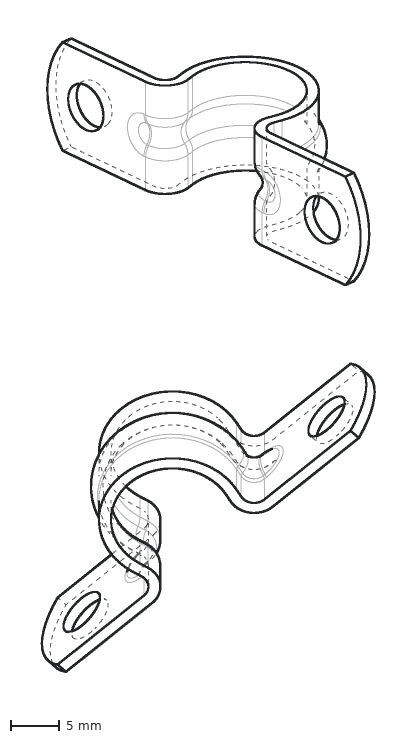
import cadquery as cq
import math


length = 46.45
width = 12.7
thickness = 1.25
ear_end_radius = 10.0

arch_radius = 6.35
arch_center_y = 6.0
bend_radius = 2.8
bend_center_y = bend_radius
neck_lean = math.radians(14.5)
neck_drop = arch_center_y - bend_center_y
neck_length = (neck_drop - (arch_radius + bend_radius) * math.sin(neck_lean)) / math.cos(neck_lean)
bend_center_x = (arch_radius + bend_radius) * math.cos(neck_lean) - neck_length * math.sin(neck_lean)

hole_diameter = 5.2
hole_spacing = 35.0

bead_half_width = 2.45
bead_height = 0.85
bead_foot_radius = 0.75
bead_end_x = 8.85
bead_slope_angle = 2 * math.atan(bead_height / bead_half_width)
bead_crown_radius = bead_half_width / math.sin(bead_slope_angle) - bead_foot_radius
bead_crown_center_y = thickness + bead_height - bead_crown_radius
bead_foot_center_y = thickness + bead_foot_radius


def on_circle(center, radius, angle):
    """Point on a circle, at an angle measured from its second axis toward its first."""
    return (center[0] + radius * math.sin(angle), center[1] + radius * math.cos(angle))


def mirrored(point):
    """The point with its first coordinate reversed."""
    return (-point[0], point[1])


def bend_path():
    """Front face line of the strip in the XY plane, between the ends of the bead."""
    arch_end_angle = math.pi / 2 + neck_lean
    arch_end = on_circle((0, arch_center_y), arch_radius, arch_end_angle)
    bend_center = (bend_center_x, bend_center_y)
    bend_start = on_circle(bend_center, bend_radius, math.pi + arch_end_angle)
    bend_middle = on_circle(bend_center, bend_radius, math.pi + arch_end_angle / 2)
    return (
        cq.Workplane("XY")
        .moveTo(-bead_end_x, 0)
        .lineTo(-bend_center_x, 0)
        .threePointArc(mirrored(bend_middle), mirrored(bend_start))
        .lineTo(*mirrored(arch_end))
        .threePointArc((0, arch_center_y + arch_radius), arch_end)
        .lineTo(*bend_start)
        .threePointArc(bend_middle, (bend_center_x, 0))
        .lineTo(bead_end_x, 0)
    )


def bead_face(depth):
    """Points (z, y) of the +Z half of a bead face, crown to edge, at a depth below its back face."""
    crown_radius = bead_crown_radius - depth
    foot_radius = bead_foot_radius + depth
    crown_center = (0, bead_crown_center_y)
    foot_center = (bead_half_width, bead_foot_center_y)
    crown = on_circle(crown_center, crown_radius, 0)
    crown_middle = on_circle(crown_center, crown_radius, bead_slope_angle / 2)
    joint = on_circle(crown_center, crown_radius, bead_slope_angle)
    foot_middle = on_circle(foot_center, foot_radius, math.pi + bead_slope_angle / 2)
    edge = on_circle(foot_center, foot_radius, math.pi)
    return crown, crown_middle, joint, foot_middle, edge


def section_plane(plane_x):
    """Plane across the strip that measures along Z first and along Y second."""
    return cq.Workplane(cq.Plane(origin=(plane_x, 0, 0), xDir=(0, 0, 1), normal=(-1, 0, 0)))


def strip_section():
    """Full section across the strip with the bead at its middle, at the left end of the path."""
    crown, _, joint, foot_middle, edge = bead_face(0)
    front_crown, _, front_joint, front_foot_middle, front_edge = bead_face(thickness)
    return (
        section_plane(-bead_end_x)
        .moveTo(*mirrored(edge))
        .threePointArc(mirrored(foot_middle), mirrored(joint))
        .threePointArc(crown, joint)
        .threePointArc(foot_middle, edge)
        .lineTo(width / 2, thickness)
        .lineTo(width / 2, 0)
        .lineTo(*front_edge)
        .threePointArc(front_foot_middle, front_joint)
        .threePointArc(front_crown, mirrored(front_joint))
        .threePointArc(mirrored(front_foot_middle), mirrored(front_edge))
        .lineTo(-width / 2, 0)
        .lineTo(-width / 2, thickness)
        .close()
    )


def arch_with_bends():
    """Everything between the two bead ends, with the bead running along it."""
    return strip_section().sweep(bend_path())


def right_bead_end():
    """Round end of the bead: its half section turned half a turn about an axis along Y."""
    crown, crown_middle, joint, foot_middle, edge = bead_face(0)
    front_crown, front_crown_middle, front_joint, front_foot_middle, front_edge = bead_face(thickness)
    return (
        section_plane(bead_end_x)
        .moveTo(*crown)
        .threePointArc(crown_middle, joint)
        .threePointArc(foot_middle, edge)
        .lineTo(*front_edge)
        .threePointArc(front_foot_middle, front_joint)
        .threePointArc(front_crown_middle, front_crown)
        .close()
        .revolve(180, (0, 0), (0, 1))
    )


def right_ear():
    """Flat ear with an arc end, a screw hole and a round notch for the end of the bead."""
    corner_z = width / 2
    corner_x = length / 2 - ear_end_radius + math.sqrt(ear_end_radius**2 - corner_z**2)
    plate = (
        cq.Workplane("XZ")
        .moveTo(bead_end_x, corner_z)
        .lineTo(corner_x, corner_z)
        .threePointArc((length / 2, 0), (corner_x, -corner_z))
        .lineTo(bead_end_x, -corner_z)
        .lineTo(bead_end_x, -bead_half_width)
        .threePointArc((bead_end_x + bead_half_width, 0), (bead_end_x, bead_half_width))
        .close()
        .extrude(-thickness)
    )
    hole = cq.Workplane("XZ").center(hole_spacing / 2, 0).circle(hole_diameter / 2).extrude(-thickness)
    return plate.cut(hole).union(right_bead_end())


ear = right_ear()
result = arch_with_bends().union(ear).union(ear.mirror("YZ"))